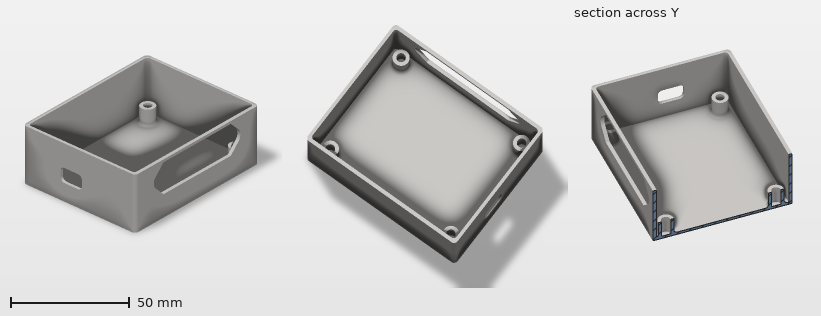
import cadquery as cq

length_x = 63.2
length_y = 78.2
height = 28.4
outer_corner_radius = 1.9
side_wall = 1.7
end_wall = 1.5
floor = 1.5
inner_corner_radius = 1.5

boss_diameter = 7.2
boss_hole_diameter = 4.0
boss_top = 9.7
boss_base_fillet = 1.5
boss_left_x = -24.25
boss_right_x = 25.65
boss_y = 31.5

port_width = 11.9
port_height = 7.35
port_x = -4.45
port_z = 12.75
port_radius = 2.0

window_edge_length = 42.55
window_bottom = 11.4
window_top = 27.0
window_side_radius = 4.0


def make_shell():
    outer = cq.Workplane("XY").box(length_x, length_y, height, centered=(True, True, False))
    outer = outer.edges("|Z").fillet(outer_corner_radius)
    return outer.cut(make_cavity())


def make_cavity():
    cavity = (
        cq.Workplane("XY")
        .workplane(offset=floor)
        .rect(length_x - 2 * side_wall, length_y - 2 * end_wall)
        .extrude(height - floor)
    )
    return cavity.edges("|Z").fillet(inner_corner_radius)


def make_boss(x, y):
    """Tubular boss whose concave base flare stops at the cavity walls."""
    hole_radius = boss_hole_diameter / 2
    boss_radius = boss_diameter / 2
    flare_radius = boss_radius + boss_base_fillet
    flare_top = floor + boss_base_fillet
    arc_offset = boss_base_fillet * (1 - 0.5 ** 0.5)
    boss = (
        cq.Workplane("XZ")
        .moveTo(hole_radius, floor)
        .lineTo(flare_radius, floor)
        .threePointArc((boss_radius + arc_offset, floor + arc_offset), (boss_radius, flare_top))
        .lineTo(boss_radius, boss_top)
        .lineTo(hole_radius, boss_top)
        .close()
        .revolve(360, (0, 0, 0), (0, 1, 0))
    )
    return boss.translate((x, y, 0)).intersect(make_cavity())


def make_port():
    port = cq.Workplane("XY").box(port_width, 2 * end_wall, port_height)
    port = port.edges("|Y").fillet(port_radius)
    return port.translate((port_x, -length_y / 2, port_z))


def make_window():
    half_height = (window_top - window_bottom) / 2
    half_edge = window_edge_length / 2
    tip = half_edge + half_height
    window = (
        cq.Workplane("YZ")
        .polyline([
            (-tip, 0),
            (-half_edge, -half_height),
            (half_edge, -half_height),
            (tip, 0),
            (half_edge, half_height),
            (-half_edge, half_height),
        ])
        .close()
        .extrude(2 * side_wall, both=True)
    )
    window = window.edges("|X and (<Y or >Y)").fillet(window_side_radius)
    return window.translate((length_x / 2, 0, window_bottom + half_height))


result = make_shell()
for boss_x in (boss_left_x, boss_right_x):
    for boss_side in (-1, 1):
        result = result.union(make_boss(boss_x, boss_side * boss_y))
result = result.cut(make_port()).cut(make_window())